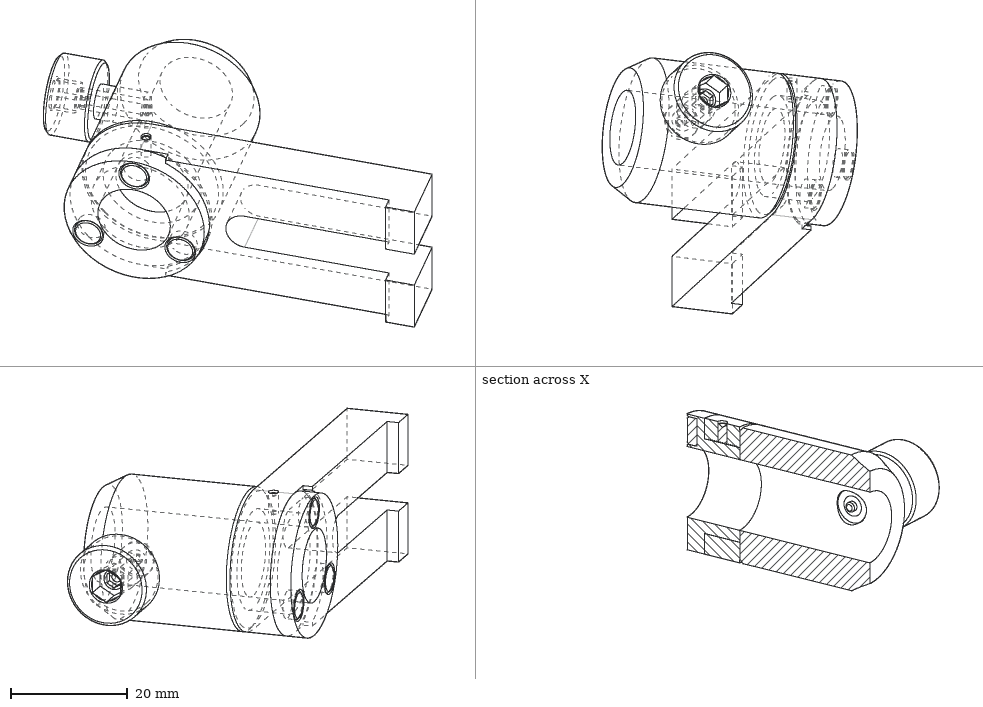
import cadquery as cq
import math


column_diameter = 25.0
column_radius = column_diameter / 2
bore_diameter = 12.9
bore_radius = bore_diameter / 2
hub_radius = 8.75
base_thickness = 3.7
fork_back = 11.0
column_height = 38.2
tube_bottom_chamfer = 0.65
tube_top_bevel_height = 3.9
tube_top_bevel_inset = 2.2

magnet_count = 3
magnet_radius = 2.5
magnet_circle_radius = 9.5
magnet_depth = 2.05
magnet_chamfer = 0.255

fork_end = 49.95
arm_front = 2.05
foot_length = 5.1
slot_width = 6.7
slot_start = 15.75
base_clearance = 0.33
recess_wall_x = 4.95

set_screw_radius = 0.9
set_screw_y = (base_thickness + fork_back) / 2
set_screw_recess = 0.45
set_screw_cup_radius = 0.65
set_screw_cup_depth = 0.45

screw_y = 29.9
knob_face_x = -23.0
knob_length = 7.95
knob_radius = 7.15
knob_face_chamfer = 0.6
knob_back_chamfer = 0.45
shank_radius = 3.05
shank_end_x = -6.7
knob_hex = 5.0
knob_hex_depth = 4.4
knob_countersink_radius = 3.0
countersink_depth = 0.3

sleeve_radius = 1.8
sleeve_hex = 2.6
sleeve_hex_depth = 1.45
pin_radius = 0.9
pin_tip_x = -5.7
pin_tip_chamfer = 0.3


def cylinder_y(radius, start, end):
    """Cylinder on the bore axis from Y = start to Y = end."""
    return cq.Workplane("XZ", origin=(0, start, 0)).circle(radius).extrude(start - end)


def cylinder_x(radius, start, end):
    """Cylinder on the thumbscrew axis from X = start to X = end."""
    return cq.Workplane("YZ", origin=(start, screw_y, 0)).circle(radius).extrude(end - start)


def hex_socket_x(across_flats, start, depth):
    """Hexagonal prism on the thumbscrew axis, with corners pointing up and down."""
    across_corners = across_flats / math.cos(math.pi / 6)
    plane = cq.Workplane("YZ", origin=(start, screw_y, 0))
    return plane.transformed(rotate=(0, 0, 90)).polygon(6, across_corners).extrude(depth)


def make_tube():
    """Holder tube with a bevelled top and a hole for the thumbscrew."""
    tube = cylinder_y(column_radius, fork_back, column_height)
    tube = tube.faces("<Y").chamfer(tube_bottom_chamfer)
    tube = tube.faces(">Y").chamfer(tube_top_bevel_height, tube_top_bevel_inset)
    tube = tube.cut(cylinder_y(bore_radius, fork_back, column_height))
    return tube.cut(cylinder_x(shank_radius, -column_radius, 0))


def magnet_centres():
    """(X, Z) centres of the magnets, the first one straight above the bore."""
    angles = [math.pi / 2 + 2 * math.pi * i / magnet_count for i in range(magnet_count)]
    return [(magnet_circle_radius * math.cos(a), magnet_circle_radius * math.sin(a)) for a in angles]


def magnet_blank(centre):
    """Plain cylinder filling one magnet pocket."""
    return cylinder_y(magnet_radius, 0, magnet_depth).translate((centre[0], 0, centre[1]))


def make_magnet(centre):
    """Magnet flush with the underside, chamfered around its outer face."""
    return magnet_blank(centre).faces("<Y").chamfer(magnet_chamfer)


def magnet_countersink(centre):
    """Cone that bevels the mouth of one magnet pocket."""
    cone = cq.Solid.makeCone(
        magnet_radius + magnet_chamfer,
        magnet_radius,
        magnet_chamfer,
        pnt=cq.Vector(centre[0], 0, centre[1]),
        dir=cq.Vector(0, 1, 0),
    )
    return cq.Workplane(cone)


def make_base():
    """Base disc and hub with the bore through both and a blind pocket for each magnet."""
    base = cylinder_y(column_radius, 0, base_thickness)
    base = base.union(cylinder_y(hub_radius, 0, fork_back))
    base = base.cut(cylinder_y(bore_radius, 0, fork_back))
    for centre in magnet_centres():
        base = base.cut(magnet_blank(centre)).cut(magnet_countersink(centre))
    return base


def set_screw_hole():
    """Hole through the top of the fork ring, from the bore axis outward."""
    plane = cq.Workplane("XY", origin=(0, set_screw_y, 0))
    return plane.circle(set_screw_radius).extrude(column_radius)


def make_set_screw():
    """Cup-ended set screw lying slightly below the top of the fork ring and bearing on the hub."""
    top = column_radius - set_screw_recess
    length = top - hub_radius
    plane = cq.Workplane("XY", origin=(0, set_screw_y, top))
    screw = plane.circle(set_screw_radius).extrude(-length)
    cup = cq.Solid.makeCone(
        set_screw_cup_radius,
        0,
        set_screw_cup_depth,
        pnt=cq.Vector(0, set_screw_y, top),
        dir=cq.Vector(0, 0, -1),
    )
    return screw.cut(cq.Workplane(cup))


def make_fork():
    """Ring around the hub with a slotted arm that ends in a foot."""
    foot_start = fork_end - foot_length
    side = [
        (0, base_thickness),
        (recess_wall_x, base_thickness),
        (recess_wall_x, arm_front),
        (foot_start, arm_front),
        (foot_start, 0),
        (fork_end, 0),
        (fork_end, fork_back),
        (0, fork_back),
    ]
    fork = cq.Workplane("XY").polyline(side).close().extrude(column_radius, both=True)
    fork = fork.union(cylinder_y(column_radius, base_thickness, fork_back))
    fork = fork.cut(cylinder_y(column_radius + base_clearance, 0, base_thickness))
    fork = fork.cut(cylinder_y(hub_radius, 0, fork_back))

    slot_centre_x = slot_start + slot_width / 2
    slot = cq.Workplane("XZ").center(slot_centre_x, 0).circle(slot_width / 2).extrude(-fork_back)
    slot_box = cq.Workplane("XY").box(
        fork_end - slot_centre_x, fork_back, slot_width, centered=(False, False, True)
    )
    slot = slot.union(slot_box.translate((slot_centre_x, 0, 0)))
    return fork.cut(slot).cut(set_screw_hole())


def make_thumbscrew():
    """Knob and shank, hollow for the plunger, with a hex socket in the knob face."""
    knob_back_x = knob_face_x + knob_length
    knob = cylinder_x(knob_radius, knob_face_x, knob_back_x)
    knob = knob.faces("<X").chamfer(knob_face_chamfer)
    knob = knob.faces(">X").chamfer(knob_back_chamfer)
    screw = knob.union(cylinder_x(shank_radius, knob_back_x, shank_end_x))
    screw = screw.cut(hex_socket_x(knob_hex, knob_face_x, knob_hex_depth))
    countersink = cq.Solid.makeCone(
        knob_countersink_radius,
        knob_countersink_radius - countersink_depth,
        countersink_depth,
        pnt=cq.Vector(knob_face_x, screw_y, 0),
        dir=cq.Vector(1, 0, 0),
    )
    screw = screw.cut(cq.Workplane(countersink))
    return screw.cut(cylinder_x(sleeve_radius, knob_face_x, shank_end_x))


def make_sleeve():
    """Plunger sleeve from the floor of the knob socket to the end of the shank."""
    start = knob_face_x + knob_hex_depth
    sleeve = cylinder_x(sleeve_radius, start, shank_end_x)
    sleeve = sleeve.cut(hex_socket_x(sleeve_hex, start, sleeve_hex_depth))
    return sleeve.cut(cylinder_x(pin_radius, start, shank_end_x))


def make_plunger_pin():
    """Pin from the floor of the sleeve socket, its chamfered tip standing into the bore."""
    start = knob_face_x + knob_hex_depth + sleeve_hex_depth
    return cylinder_x(pin_radius, start, pin_tip_x).faces(">X").chamfer(pin_tip_chamfer)


tube = make_tube()
base = make_base()
magnets = [make_magnet(centre) for centre in magnet_centres()]
fork = make_fork()
set_screw = make_set_screw()
thumbscrew = make_thumbscrew()
sleeve = make_sleeve()
plunger_pin = make_plunger_pin()

result = cq.Compound.makeCompound(
    [
        tube.val(),
        base.val(),
        *[magnet.val() for magnet in magnets],
        fork.val(),
        set_screw.val(),
        thumbscrew.val(),
        sleeve.val(),
        plunger_pin.val(),
    ]
)